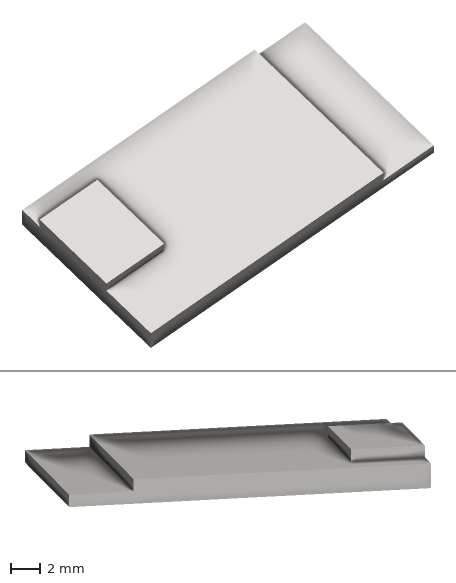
import cadquery as cq

width = 13.5
length = 25.2
height = 2.55

tail_length = 4.49
tail_thickness = 0.85
body_thickness = 1.71
body_length = length - tail_length

pad_width = 7.0
pad_length = 5.15
pad_offset = 1.85
pad_height = height - body_thickness


def block(size_x, size_y, size_z, corner):
    """Box with its lowest X, Y, Z corner at the given point."""
    return cq.Workplane("XY").box(size_x, size_y, size_z, centered=False).translate(corner)


base = block(width, length, tail_thickness, (0, 0, 0))
body = block(width, body_length, body_thickness, (0, 0, 0))
pad = block(pad_width, pad_length, pad_height, (pad_offset, 0, body_thickness))

result = base.union(body).union(pad)